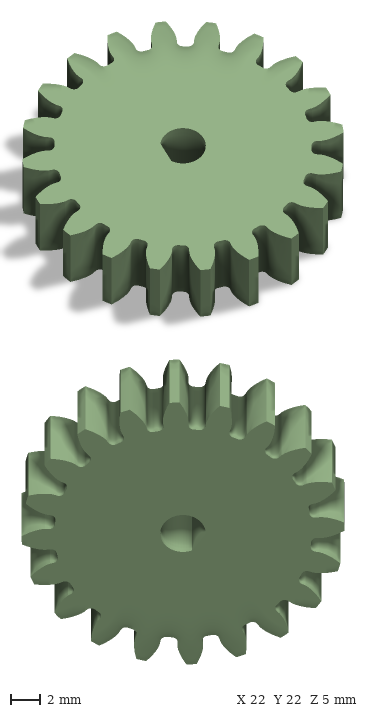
import cadquery as cq
import math

tooth_count = 20
outer_diameter = 22.0
width = 5.0
pressure_angle = math.radians(20)
gear_turn = -2.0
dedendum_factor = 1.25
root_fillet = 0.4
bore_diameter = 3.1
flat_distance = 1.3

module = outer_diameter / (tooth_count + 2)
outer_radius = outer_diameter / 2
pitch_radius = module * tooth_count / 2
base_radius = pitch_radius * math.cos(pressure_angle)
root_radius = pitch_radius - dedendum_factor * module
tooth_pitch = 2 * math.pi / tooth_count
flank_points = 6


def polar(radius, angle):
    return (radius * math.cos(angle), radius * math.sin(angle))


def involute(angle):
    return math.tan(angle) - angle


def half_tooth_angle(radius):
    """Half the angle that a tooth spans at a radius on its involute flank."""
    local_pressure_angle = math.acos(base_radius / radius)
    return tooth_pitch / 4 + involute(pressure_angle) - involute(local_pressure_angle)


base_half_angle = half_tooth_angle(base_radius)
fillet_center_radius = root_radius + root_fillet
fillet_angle = math.asin(root_fillet / fillet_center_radius)
fillet_top_radius = fillet_center_radius * math.cos(fillet_angle)


def fillet_middle(tooth_angle, side):
    """Middle of the root fillet; side is -1 for the clockwise flank, +1 for the other."""
    center_angle = tooth_angle + side * (base_half_angle + fillet_angle)
    center_x, center_y = polar(fillet_center_radius, center_angle)
    inward_angle = center_angle + math.pi + side * (math.pi / 2 - fillet_angle) / 2
    step_x, step_y = polar(root_fillet, inward_angle)
    return (center_x + step_x, center_y + step_y)


def flank(tooth_angle, side):
    """Involute points from the base circle out to the tip."""
    step = (outer_radius - base_radius) / (flank_points - 1)
    radii = [base_radius + step * index for index in range(flank_points)]
    return [polar(radius, tooth_angle + side * half_tooth_angle(radius)) for radius in radii]


def add_tooth(outline, tooth_angle):
    """Continue the outline counterclockwise over one tooth and the root after it."""
    root_half_angle = base_half_angle + fillet_angle
    next_angle = tooth_angle + tooth_pitch
    rising = flank(tooth_angle, -1)
    falling = flank(tooth_angle, 1)[::-1]
    return (
        outline
        .threePointArc(
            fillet_middle(tooth_angle, -1),
            polar(fillet_top_radius, tooth_angle - base_half_angle),
        )
        .lineTo(*rising[0])
        .spline(rising[1:], includeCurrent=True)
        .threePointArc(polar(outer_radius, tooth_angle), falling[0])
        .spline(falling[1:], includeCurrent=True)
        .lineTo(*polar(fillet_top_radius, tooth_angle + base_half_angle))
        .threePointArc(
            fillet_middle(tooth_angle, 1),
            polar(root_radius, tooth_angle + root_half_angle),
        )
        .threePointArc(
            polar(root_radius, tooth_angle + tooth_pitch / 2),
            polar(root_radius, next_angle - root_half_angle),
        )
    )


def gear_blank():
    start_angle = -base_half_angle - fillet_angle
    outline = cq.Workplane("XY").moveTo(*polar(root_radius, start_angle))
    for index in range(tooth_count):
        outline = add_tooth(outline, index * tooth_pitch)
    return outline.close().extrude(width)


def bore():
    """D-shaped bore through the gear, with its flat on the -Y side."""
    half_flat = math.sqrt((bore_diameter / 2) ** 2 - flat_distance ** 2)
    return (
        cq.Workplane("XY")
        .moveTo(-half_flat, -flat_distance)
        .lineTo(half_flat, -flat_distance)
        .threePointArc((0, bore_diameter / 2), (-half_flat, -flat_distance))
        .close()
        .extrude(width)
    )


result = gear_blank().cut(bore()).rotate((0, 0, 0), (0, 0, 1), gear_turn)